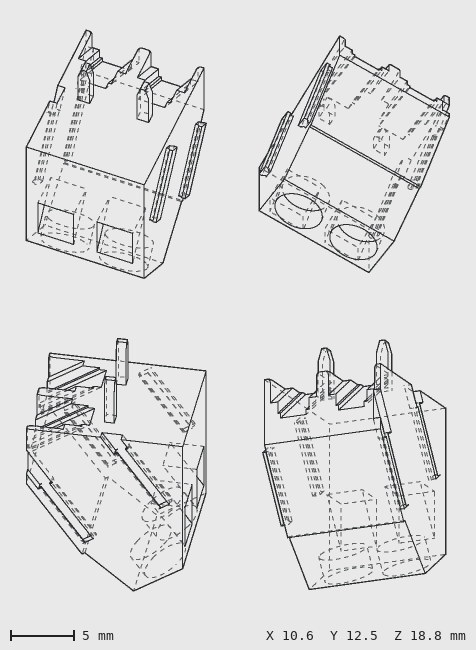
import cadquery as cq
import math

POLES = 2
PITCH = 5.0
WIDTH = POLES * PITCH
DEPTH = 12.5
BODY_HEIGHT = 14.81
TOTAL_HEIGHT = 18.8

TILT_DEG = 35.0
TILT = math.radians(TILT_DEG)
TAN_TILT = math.tan(TILT)

APEX_Y = 3.93
UNDERSIDE_DEG = 39.7
STEP_Y = 7.82
STEP_SIZE = 0.28

PIN_WIDTH = 1.0
PIN_THICKNESS = 0.79
PIN_TIP_WIDTH = 0.41
PIN_TIP_LENGTH = 1.0
PIN_Y = DEPTH / 2

ENTRY_WIDTH = 3.03
ENTRY_BOTTOM = 4.21
ENTRY_HEIGHT = 3.87

SCREW_HOLE_DIAMETER = 3.9
SCREW_HOLE_DEPTH = 2.0
SCREW_HOLE_FROM_APEX = 2.5

BACK_POCKETS = [(3.99, 9.65), (2.69, 8.3), (2.2, 7.7)]
WIDEST_POCKET = BACK_POCKETS[0][0]
BACK_CORNER_RADIUS = 0.26

LOWER_END_Y = 7.54
LOWER_END_Z = 4.45
TRACK_SPACING = 7.4
TRACK_NOTCH_END = 0.23
TRACK_FLARE_END = 0.32
RAIL_LENGTH = 6.13
RAIL_HEIGHT = 0.58
RAIL_WIDTH = 1.15
RAIL_NECK_WIDTH = 0.71
RAIL_ROOT_WIDTH = 0.86
GROOVE_LENGTH = 6.02
GROOVE_DEPTH = 0.62
GROOVE_WIDTH = 1.35
GROOVE_NECK_WIDTH = 0.8
GROOVE_ROOT_WIDTH = 1.03
GROOVE_FLOOR_RADIUS = 0.19

POLE_CENTRES = [PITCH * (pole + 0.5) for pole in range(POLES)]
TRACK_ENDS = [
    (LOWER_END_Y, LOWER_END_Z),
    (
        LOWER_END_Y - TRACK_SPACING * math.cos(TILT),
        LOWER_END_Z + TRACK_SPACING * math.sin(TILT),
    ),
]


def side_prism(points, x_centre, width):
    """Extrude a (Y, Z) outline along X, centred on x_centre."""
    plane = cq.Plane(origin=(x_centre, 0, 0), xDir=(0, 1, 0), normal=(1, 0, 0))
    return cq.Workplane(plane).polyline(points).close().extrude(width / 2, both=True)


def tilted_plane(x, y, z):
    """Plane square to the tilt: local x runs along X, local y across the tilt."""
    return cq.Plane(
        origin=(x, y, z), xDir=(1, 0, 0), normal=(0, math.sin(TILT), math.cos(TILT))
    )


def make_body():
    step_z = (STEP_Y - APEX_Y) * math.tan(math.radians(UNDERSIDE_DEG))
    heel_y = STEP_Y + STEP_SIZE * math.cos(TILT)
    heel_z = step_z - STEP_SIZE * math.sin(TILT)
    outline = [
        (0, BODY_HEIGHT),
        (0, APEX_Y * TAN_TILT),
        (APEX_Y, 0),
        (STEP_Y, step_z),
        (heel_y, heel_z),
        (DEPTH, heel_z + (DEPTH - heel_y) / TAN_TILT),
        (DEPTH, BODY_HEIGHT),
    ]
    return side_prism(outline, WIDTH / 2, WIDTH)


def make_pin(x):
    half = PIN_WIDTH / 2
    half_tip = PIN_TIP_WIDTH / 2
    shoulder = TOTAL_HEIGHT - PIN_TIP_LENGTH
    return (
        cq.Workplane("XZ", origin=(x, PIN_Y, 0))
        .moveTo(-half, BODY_HEIGHT)
        .lineTo(half, BODY_HEIGHT)
        .lineTo(half, shoulder)
        .lineTo(half_tip, TOTAL_HEIGHT)
        .lineTo(-half_tip, TOTAL_HEIGHT)
        .lineTo(-half, shoulder)
        .close()
        .extrude(PIN_THICKNESS / 2, both=True)
    )


def make_wire_entry(x):
    """Wedge whose floor rises from the lower edge of the opening along the tilt."""
    top = ENTRY_BOTTOM + ENTRY_HEIGHT
    outline = [(0, ENTRY_BOTTOM), (ENTRY_HEIGHT * TAN_TILT, top), (0, top)]
    return side_prism(outline, x, ENTRY_WIDTH)


def make_screw_hole(x):
    y = APEX_Y - SCREW_HOLE_FROM_APEX * math.cos(TILT)
    z = SCREW_HOLE_FROM_APEX * math.sin(TILT)
    hole = cq.Workplane(tilted_plane(x, y, z)).circle(SCREW_HOLE_DIAMETER / 2)
    return hole.extrude(SCREW_HOLE_DEPTH)


def make_back_pocket(x, width, start_y):
    """Wedge open at the top and the back, with a floor square to the tilt."""
    floor_drop = (DEPTH - start_y) * TAN_TILT
    outline = [
        (start_y, BODY_HEIGHT),
        (DEPTH, BODY_HEIGHT - floor_drop),
        (DEPTH, BODY_HEIGHT),
    ]
    return side_prism(outline, x, width)


def make_corner_rounding(wall_x, side):
    """Sliver that rounds the top back corner of a pocket wall, square to the tilt.

    side is +1 where the wall stands on the +X side of wall_x and -1 on the other side.
    """
    plane = cq.Plane(
        origin=(wall_x, DEPTH, BODY_HEIGHT),
        xDir=(1, 0, 0),
        normal=(0, -math.cos(TILT), math.sin(TILT)),
    )
    radius = BACK_CORNER_RADIUS
    bulge = radius * (1 - math.sqrt(0.5))
    return (
        cq.Workplane(plane)
        .lineTo(side * radius, 0)
        .threePointArc((side * bulge, -bulge), (0, -radius))
        .close()
        .extrude(2 * radius, both=True)
    )


def make_track(plane, root_width, neck_width, full_width, reach, length):
    """Prism waisted by a round notch on each flank, flaring to its full width."""
    root = root_width / 2
    neck = neck_width / 2
    full = full_width / 2
    waist = (TRACK_NOTCH_END / 2, neck)
    return (
        cq.Workplane(plane)
        .moveTo(0, -root)
        .threePointArc((waist[0], -waist[1]), (TRACK_NOTCH_END, -root))
        .lineTo(TRACK_FLARE_END, -full)
        .lineTo(reach, -full)
        .lineTo(reach, full)
        .lineTo(TRACK_FLARE_END, full)
        .lineTo(TRACK_NOTCH_END, root)
        .threePointArc(waist, (0, root))
        .close()
        .extrude(length)
    )


def make_rail(y, z):
    return make_track(
        tilted_plane(WIDTH, y, z),
        RAIL_ROOT_WIDTH,
        RAIL_NECK_WIDTH,
        RAIL_WIDTH,
        RAIL_HEIGHT,
        RAIL_LENGTH,
    )


def make_groove(y, z):
    """Undercut groove for a rail, with a plain full-width run-in above it."""
    plane = tilted_plane(0, y, z)
    undercut = make_track(
        plane,
        GROOVE_ROOT_WIDTH,
        GROOVE_NECK_WIDTH,
        GROOVE_WIDTH,
        GROOVE_DEPTH,
        GROOVE_LENGTH,
    )
    along_groove = cq.selectors.ParallelDirSelector(plane.zDir)
    undercut = undercut.faces(">X").edges(along_groove).fillet(GROOVE_FLOOR_RADIUS)
    run_in = (
        cq.Workplane(plane)
        .workplane(offset=GROOVE_LENGTH)
        .rect(2 * GROOVE_DEPTH, GROOVE_WIDTH)
        .extrude(DEPTH)
    )
    return undercut.union(run_in)


result = make_body()
for pole_x in POLE_CENTRES:
    result = result.cut(make_wire_entry(pole_x))
    result = result.cut(make_screw_hole(pole_x))
    for pocket_width, pocket_start in BACK_POCKETS:
        result = result.cut(make_back_pocket(pole_x, pocket_width, pocket_start))
    for wall_side in (-1, 1):
        pocket_wall_x = pole_x + wall_side * WIDEST_POCKET / 2
        result = result.cut(make_corner_rounding(pocket_wall_x, wall_side))
for end_y, end_z in TRACK_ENDS:
    result = result.cut(make_groove(end_y, end_z))
    result = result.union(make_rail(end_y, end_z))
for pole_x in POLE_CENTRES:
    result = result.union(make_pin(pole_x))